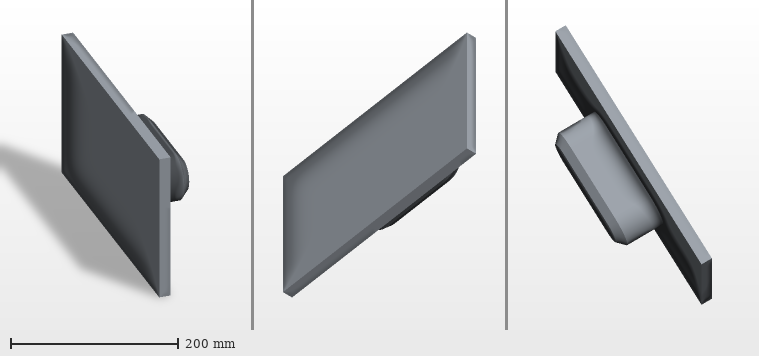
import cadquery as cq

plate_width = 337.0
plate_height = 187.0
plate_thickness = 14.5

boss_length = 160.0
boss_height = 60.0
boss_depth = 60.0
boss_chamfer = 10.0


def make_plate():
    """Plate centred in X and Z, with its thickness along +Y."""
    return cq.Workplane("XY").box(
        plate_width, plate_thickness, plate_height, centered=(True, False, True)
    )


def make_boss():
    """Round-ended boss rising along +Y, chamfered around its free end."""
    back_face = cq.Workplane("XZ", origin=(0, plate_thickness, 0))
    boss = back_face.slot2D(boss_length, boss_height).extrude(-boss_depth)
    return boss.faces(">Y").chamfer(boss_chamfer)


result = make_plate().union(make_boss())